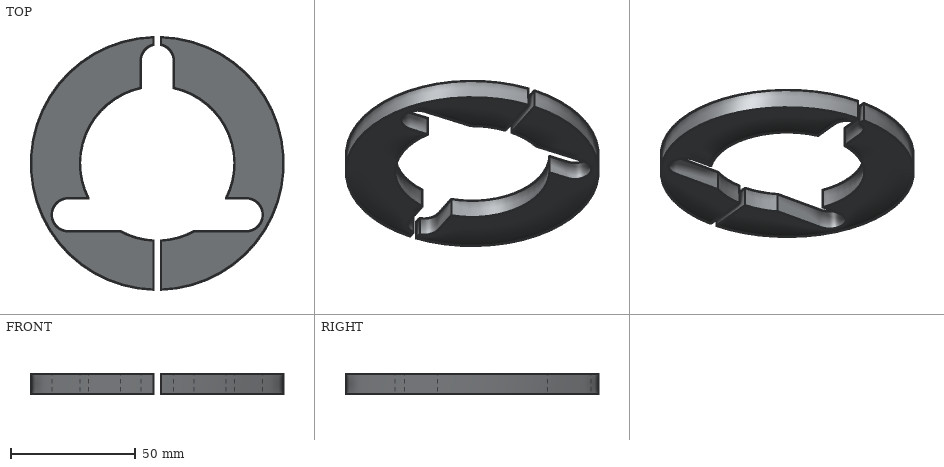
import cadquery as cq
import math

outer_diameter = 101.6
bore_diameter = 62.0
thickness = 8.1
split_gap = 2.8
slot_width = 13.2
slot_end_radius = 41.2
side_slot_angle = math.radians(30)

side_end_x = slot_end_radius * math.cos(side_slot_angle)
side_end_y = -slot_end_radius * math.sin(side_slot_angle)


def slotted_ring():
    """Flat ring with a radial slot at +Y and a straight slot across the -Y side."""
    ring = cq.Workplane("XY").circle(outer_diameter / 2).circle(bore_diameter / 2).extrude(thickness)
    radial_slot = (
        cq.Workplane("XY")
        .center(0, slot_end_radius / 2)
        .slot2D(slot_end_radius + slot_width, slot_width, 90)
        .extrude(thickness)
    )
    cross_slot = (
        cq.Workplane("XY")
        .center(0, side_end_y)
        .slot2D(2 * side_end_x + slot_width, slot_width)
        .extrude(thickness)
    )
    return ring.cut(radial_slot).cut(cross_slot)


def make_half_rings():
    """Left and right half rings, separated by the split gap along the YZ plane."""
    splitter = cq.Workplane("XY").box(split_gap, outer_diameter, thickness, centered=(True, True, False))
    return slotted_ring().cut(splitter).solids()


half_rings = make_half_rings()
result = cq.Compound.makeCompound([*half_rings.vals()])